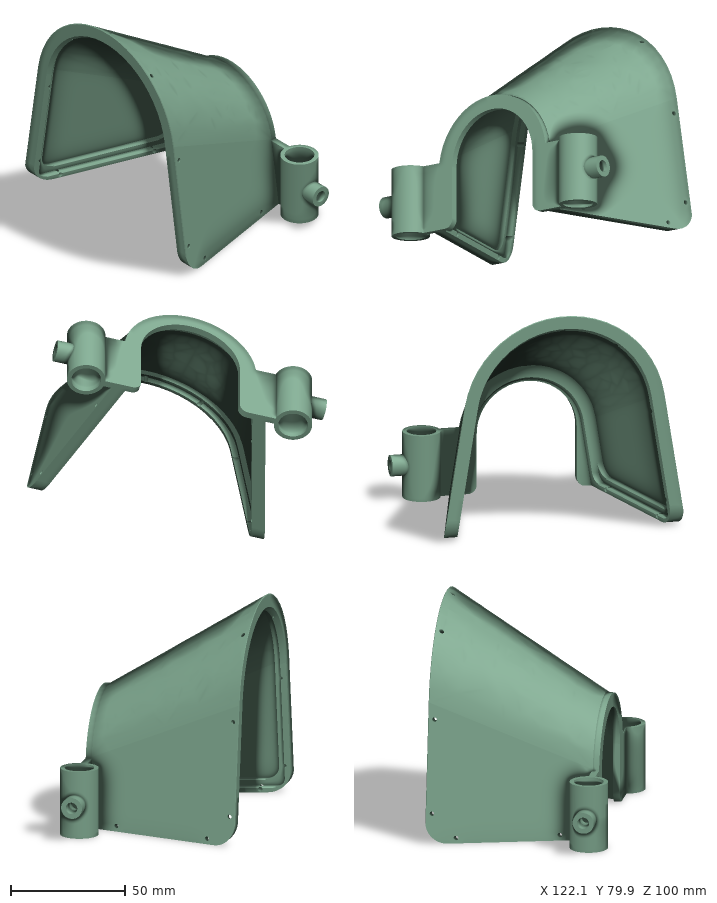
import cadquery as cq
import math

hood_depth = 69.98
plate_thickness = 3.0
leg_angle = math.radians(9)

front_radius = 45.0
front_center_z = 54.7
rear_radius = 30.0
rear_center_z = 26.0

wall_depth = 5.5
skin_thickness = 0.45
skin_end_slant = 0.25
corner_radius = 10.0

border = 5.5
rear_border = 2.8
window_radius = 6.0
ledge_depth = 2.6
ledge_width = 2.6
ledge_radius = 4.0

edge_chamfer = 0.5

screw_diameter = 2.0
screw_setback = 2.7
crown_screw_angle = 37.5
front_leg_screw_heights = (13.1, 54.1)
bottom_screw_height = 2.3
bottom_screw_ys = (-14.4, -58.3)

arch_width = 45.0
arch_top = 49.8
plate_corner_radius = 4.0

tube_spacing = 94.0
tube_diameter = 16.8
tube_bore = 13.0
tube_height = 30.0
arm_bite = 1.0

boss_diameter = 9.4
boss_reach = 61.05
boss_bore = 5.2
boss_pilot = 3.6

rear_y = -plate_thickness / 2
front_y = rear_y - hood_depth
big = 200.0
margin = 5.0


def crown(y):
    """Radius and centre height of the frame's outer crown at depth y."""
    share = (rear_y - y) / hood_depth
    radius = rear_radius + share * (front_radius - rear_radius)
    center_z = rear_center_z + share * (front_center_z - rear_center_z)
    return radius, center_z


def leg_x(y, z, inset=0.0):
    """Half width of the outline at height z on the straight legs."""
    radius, center_z = crown(y)
    return (radius - inset - (z - center_z) * math.sin(leg_angle)) / math.cos(leg_angle)


def outline(y, inset, foot_z):
    """Arch with leaning legs, closed along its foot, in the XZ plane at depth y."""
    radius, center_z = crown(y)
    radius -= inset
    tangent_x = radius * math.cos(leg_angle)
    tangent_z = center_z + radius * math.sin(leg_angle)
    foot_x = leg_x(y, foot_z, inset)
    return (
        cq.Workplane("XZ", origin=(0, y, 0))
        .moveTo(-foot_x, foot_z)
        .lineTo(-tangent_x, tangent_z)
        .threePointArc((0, center_z + radius), (tangent_x, tangent_z))
        .lineTo(foot_x, foot_z)
        .close()
    )


def arch_solid(start_y, end_y, inset=0.0, foot_z=0.0):
    """Solid arch tapering between two depths."""
    wires = [outline(y, inset, foot_z).val() for y in (start_y, end_y)]
    return cq.Workplane(cq.Solid.makeLoft(wires, True))


def side_prism(y_min, y_max, z_min, radius):
    """Upright slab across the hood, open above, with rounded lower edges."""
    return (
        cq.Workplane("XY")
        .box(2 * big, y_max - y_min, big, centered=(True, False, False))
        .translate((0, y_min, z_min))
        .edges("|X and <Z")
        .fillet(radius)
    )


def front_corner_cutter():
    """Material outside the rounded lower front corners."""
    return (
        cq.Workplane("YZ", origin=(-big, 0, 0))
        .moveTo(front_y - margin, -margin)
        .lineTo(front_y + corner_radius, -margin)
        .lineTo(front_y + corner_radius, 0)
        .radiusArc((front_y, corner_radius), corner_radius)
        .lineTo(front_y - margin, corner_radius)
        .close()
        .extrude(2 * big)
    )


def screw_hole(x, y, z, angle):
    """Hole through the border, square to the outline; angle in degrees from vertical."""
    turn = math.radians(angle)
    direction = cq.Vector(math.sin(turn), 0, math.cos(turn))
    reach = wall_depth + margin
    start = cq.Vector(x, y, z) - direction * reach
    return cq.Solid.makeCylinder(screw_diameter / 2, reach + margin, start, direction)


def screw_holes():
    """All holes that fasten the skin to the frame."""
    row_y = front_y + screw_setback
    radius, center_z = crown(row_y)
    holes = []
    for angle in (-crown_screw_angle, 0, crown_screw_angle):
        turn = math.radians(angle)
        holes.append(
            screw_hole(radius * math.sin(turn), row_y, center_z + radius * math.cos(turn), angle)
        )
    leg_places = [(row_y, z) for z in front_leg_screw_heights]
    leg_places += [(y, bottom_screw_height) for y in bottom_screw_ys]
    leg_normal = 90 - math.degrees(leg_angle)
    for side in (-1, 1):
        for y, z in leg_places:
            holes.append(screw_hole(side * leg_x(y, z), y, z, side * leg_normal))
    return cq.Workplane(cq.Compound.makeCompound(holes))


def floor_chamfer(side, start_y, end_y, floor_z, inset):
    """Wedge that bevels the inner edge of a flat ledge along one leg."""
    wires = []
    for y in (start_y, end_y):
        edge_x = leg_x(y, floor_z, inset)
        low_z = floor_z - edge_chamfer
        corners = [
            (side * (edge_x + edge_chamfer), floor_z),
            (side * leg_x(y, low_z, inset), low_z),
            (side * (edge_x - edge_chamfer), floor_z),
        ]
        wires.append(cq.Workplane("XZ", origin=(0, y, 0)).polyline(corners).close().val())
    return cq.Workplane(cq.Solid.makeLoft(wires, True))


def make_border():
    """Stepped border around the window of the hood."""
    wall = arch_solid(rear_y, front_y)
    wall = wall.cut(arch_solid(rear_y + margin, front_y - margin, wall_depth, -margin))
    window_rear = rear_y - rear_border
    window = side_prism(front_y + border, window_rear, border, window_radius)
    recess = side_prism(front_y + ledge_width, window_rear, ledge_width, ledge_radius)
    recess = recess.intersect(arch_solid(rear_y, front_y, ledge_depth))
    stepped = wall.cut(window).cut(recess)
    chamfers = [(border, window_radius, ledge_depth), (ledge_width, ledge_radius, wall_depth)]
    for floor_z, radius, inset in chamfers:
        flat_start = front_y + floor_z + radius
        flat_end = window_rear - radius
        for side in (-1, 1):
            stepped = stepped.cut(floor_chamfer(side, flat_start, flat_end, floor_z, inset))
    return stepped


def make_plate():
    """Rear plate: arch with a round-topped opening, and an arm to each tube."""
    arch = outline(rear_y, 0, 0).extrude(-plate_thickness)
    arms_length = tube_spacing - tube_diameter + 2 * arm_bite
    arms = cq.Workplane("XY").box(
        arms_length, plate_thickness, tube_height, centered=(True, True, False)
    )
    half = arch_width / 2
    spring_z = arch_top - half
    opening = (
        cq.Workplane("XZ", origin=(0, plate_thickness, 0))
        .moveTo(-half, 0)
        .lineTo(-half, spring_z)
        .threePointArc((0, arch_top), (half, spring_z))
        .lineTo(half, 0)
        .close()
        .extrude(2 * plate_thickness)
    )
    plate = arch.union(arms).cut(opening)
    reach = half + margin
    feet = cq.selectors.BoxSelector((-reach, -big, -margin), (reach, big, margin))
    return plate.edges("|Y").edges(feet).fillet(plate_corner_radius)


def add_tube(frame, side):
    """Upright tube with a sideways boss; the boss bore opens into the tube."""
    axis_x = side * tube_spacing / 2
    tube_radius = tube_diameter / 2
    boss_length = boss_reach - tube_spacing / 2
    boss_plane = cq.Plane((axis_x, 0, tube_height / 2), (0, 1, 0), (side, 0, 0))
    tube = cq.Workplane("XY").center(axis_x, 0).circle(tube_radius).extrude(tube_height)
    boss = cq.Workplane(boss_plane).circle(boss_diameter / 2).extrude(boss_length)
    bore = cq.Workplane("XY").center(axis_x, 0).circle(tube_bore / 2).extrude(tube_height)
    pilot = cq.Workplane(boss_plane).circle(boss_pilot / 2).extrude(boss_length)
    socket = (
        cq.Workplane(boss_plane)
        .workplane(offset=tube_radius)
        .circle(boss_bore / 2)
        .extrude(boss_length - tube_radius)
    )
    return frame.union(tube).union(boss).cut(bore).cut(pilot).cut(socket)


def make_frame():
    """Border, rear plate and both tubes as one solid."""
    frame = make_border().cut(front_corner_cutter()).cut(screw_holes())
    frame = frame.union(make_plate())
    for side in (-1, 1):
        frame = add_tube(frame, side)
    return frame


def skin_end(edge_y):
    """Solid whose slanting rim forms the end of the skin, nearly square to its surface."""
    wires = [
        outline(edge_y, 0, 0).val(),
        outline(edge_y + skin_end_slant, -skin_thickness, 0).val(),
    ]
    return cq.Workplane(cq.Solid.makeLoft(wires, True))


def make_skin():
    """Thin sheet laid over the outside of the border."""
    skin = arch_solid(rear_y + skin_end_slant, front_y + skin_end_slant, -skin_thickness)
    skin = skin.union(skin_end(front_y)).cut(skin_end(rear_y))
    skin = skin.cut(arch_solid(rear_y, front_y))
    return skin.cut(front_corner_cutter()).cut(screw_holes()).cut(make_plate())


frame = make_frame()
skin = make_skin()
result = cq.Compound.makeCompound([frame.val(), skin.val()])